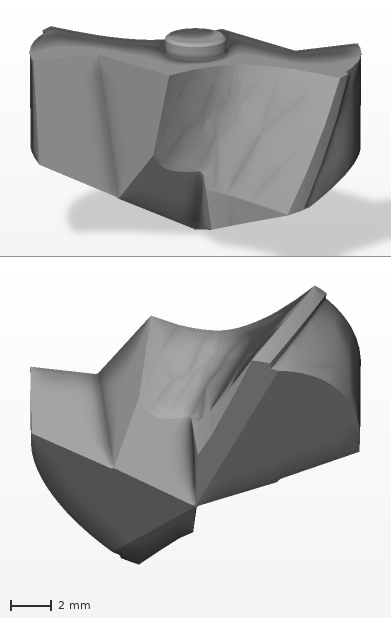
import cadquery as cq
import math

margin_radius = 8.5
land_front_radius = 8.23
land_end_radius = 8.05
tip_depth = 9.13
clear = 3 * margin_radius

margin_rear_angle = 21.5
margin_twist_rate = 3.882
land_sweep = 110.0
relief_overlap = 0.85
step_slant = 6.0

core_half_width = 3.77
notch_corner_x = 3.18
notch_lean_out = 0.36
notch_lean_down = 0.21
notch_fillet = 0.2

flute_depth = 6.29
flute_top = [
    (2.12, -4.08), (2.15, -3.23), (2.2, -2.21), (2.41, -1.19),
    (2.9, -0.12), (4.22, 0.92), (5.66, 1.51), (9.01, 2.21),
]
flute_bottom = [
    (0.48, -4.08), (0.61, -3.15), (1.31, -2.21), (2.15, -1.55),
    (2.72, -1.41), (4.0, -1.33), (5.66, -1.4), (9.01, -1.58),
]

primary_slopes = (0.35, 0.076)
secondary_slopes = (0.35, 0.39)
gash_slopes = (1.1, -0.98)
gash_face_normal = (0.49, 1, 0.12)
gash_fillet = 0.3

stud_radius = 1.51
stud_height = 0.83
stud_chamfer = 0.14
stud_root_fillet = 0.12
stud_root_depth = 0.17


def both(shape):
    """The shape with its copy turned half a turn about the drill axis."""
    return shape.union(shape.rotate((0, 0, 0), (0, 0, 1), 180))


def polar(radius, degrees):
    angle = math.radians(degrees)
    return radius * math.cos(angle), radius * math.sin(angle)


def land_relief():
    """Twisted ring sector that lowers the land, falling away toward its rear."""
    middle = margin_rear_angle + land_sweep / 2
    end = margin_rear_angle + land_sweep
    outer = margin_radius + relief_overlap
    return (
        cq.Workplane("XY")
        .moveTo(*polar(land_front_radius, margin_rear_angle))
        .threePointArc(polar((land_front_radius + land_end_radius) / 2, middle), polar(land_end_radius, end))
        .lineTo(*polar(outer, end))
        .threePointArc(polar(outer, middle), polar(outer, margin_rear_angle - step_slant))
        .close()
        .twistExtrude(-tip_depth, margin_twist_rate * tip_depth)
    )


def notch():
    """Wedge-shaped space between the flat core side and the rear wall of the lobe."""
    def outline(depth):
        corner_x = notch_corner_x - notch_lean_down * depth
        rise = clear - core_half_width
        return [
            (-clear, core_half_width),
            (corner_x, core_half_width),
            (corner_x + notch_lean_out * rise, clear),
            (-clear, clear),
        ]

    cutter = (
        cq.Workplane("XY").polyline(outline(0)).close()
        .workplane(offset=-tip_depth).polyline(outline(tip_depth)).close()
        .loft(ruled=True)
    )
    corner_edge = cq.selectors.NearestToPointSelector(
        (notch_corner_x - notch_lean_down * tip_depth / 2, core_half_width, -tip_depth / 2)
    )
    return cutter.edges(corner_edge).fillet(notch_fillet)


def flute():
    """Curved flute: ruled down to the flute depth, then straight to the point."""
    def outline(plane, curve):
        return (
            plane.moveTo(*curve[0])
            .spline(curve[1:], includeCurrent=True)
            .lineTo(clear, curve[-1][1])
            .lineTo(clear, -clear)
            .lineTo(curve[0][0], -clear)
            .close()
        )

    upper = outline(cq.Workplane("XY"), flute_top)
    ruled = outline(upper.workplane(offset=-flute_depth), flute_bottom).loft(ruled=True)
    floor = cq.Workplane("XY", origin=(0, 0, -flute_depth))
    return ruled.union(outline(floor, flute_bottom).extrude(flute_depth - tip_depth))


def facet_side(slopes, thickness):
    """Slab on the upper (positive) or lower (negative thickness) side of a point facet."""
    plane = cq.Plane(origin=(0, 0, -tip_depth), xDir=(1, 0, slopes[0]), normal=(-slopes[0], -slopes[1], 1))
    return cq.Workplane(plane).rect(2 * clear, 2 * clear).extrude(thickness)


def rake_side(thickness):
    """Slab on the lobe's side (positive) or open side (negative) of its leaning gash face."""
    plane = cq.Plane(origin=(0, 0, -tip_depth), normal=gash_face_normal)
    return cq.Workplane(plane).rect(2 * clear, 2 * clear).extrude(thickness)


def point():
    """Upper side of one lobe's relief facets, trimmed flush with the opposite primary."""
    opposite_primary = tuple(-slope for slope in primary_slopes)
    return (
        rake_side(clear)
        .intersect(facet_side(primary_slopes, clear))
        .intersect(facet_side(secondary_slopes, clear))
        .intersect(facet_side(opposite_primary, clear))
    )


def gash():
    """Wedge that thins the web, with a rounded corner against the gash face."""
    wedge = rake_side(-clear).intersect(facet_side(gash_slopes, -clear))
    corner_edge = cq.selectors.NearestToPointSelector((0, 0, -tip_depth))
    return wedge.edges(corner_edge).fillet(gash_fillet)


def stud():
    return (
        cq.Workplane("XZ")
        .moveTo(0, -stud_root_depth)
        .lineTo(stud_radius + stud_root_fillet, -stud_root_depth)
        .lineTo(stud_radius + stud_root_fillet, 0)
        .radiusArc((stud_radius, stud_root_fillet), stud_root_fillet)
        .lineTo(stud_radius, stud_height - stud_chamfer)
        .lineTo(stud_radius - stud_chamfer, stud_height)
        .lineTo(0, stud_height)
        .close()
        .revolve(360, (0, 0, 0), (0, 1, 0))
    )


body = cq.Workplane("XY").circle(margin_radius).extrude(-tip_depth)
body = body.intersect(both(point()))
for cutter in (land_relief(), notch(), flute(), gash()):
    body = body.cut(cutter).cut(cutter.rotate((0, 0, 0), (0, 0, 1), 180))
result = body.union(stud())